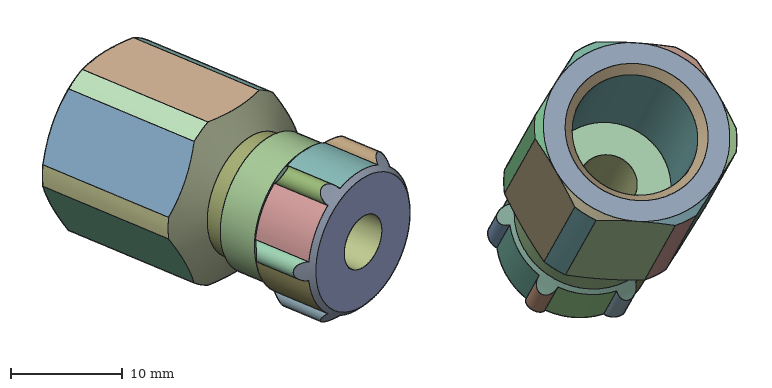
import cadquery as cq
import math

length = 30.0

hex_across_flats = 17.0
hex_corner_diameter = 18.48
corner_end_x = 15.0
crown_angle = 30.0

neck_diameter = 12.0
collar_diameter = 13.5
collar_start_x = 19.0

nut_start_x = 22.95
nut_diameter = 14.28
nut_end_diameter = 13.32
rib_tip_diameter = 16.2
rib_radius = 1.0
rib_count = 6

bore_diameter = 11.45
bore_depth = 13.5
bore_mouth_diameter = 13.05
through_diameter = 5.3


def revolve_about_x(points):
    """Turn a closed (x, radius) outline about the X axis."""
    return cq.Workplane("XY").polyline(points).close().revolve(360, (0, 0, 0), (1, 0, 0))


def cylinder_along_x(diameter, start_x, end_x):
    return cq.Workplane("YZ", origin=(start_x, 0, 0)).circle(diameter / 2).extrude(end_x - start_x)


def make_hex_body():
    """Hexagon trimmed by its corner cylinder and a cone at each end."""
    flat_radius = hex_across_flats / 2
    corner_radius = hex_corner_diameter / 2
    neck_radius = neck_diameter / 2
    crown_slope = math.tan(math.radians(crown_angle))
    front_crown = (corner_radius - flat_radius) * crown_slope
    cone_end_x = corner_end_x + (corner_radius - neck_radius) * crown_slope
    hexagon_diameter = hex_across_flats / math.cos(math.pi / 6)
    prism = cq.Workplane("YZ").polygon(6, hexagon_diameter).extrude(cone_end_x)
    envelope = revolve_about_x([
        (0, 0),
        (0, flat_radius),
        (front_crown, corner_radius),
        (corner_end_x, corner_radius),
        (cone_end_x, neck_radius),
        (cone_end_x, 0),
    ])
    return prism.intersect(envelope)


def make_nut():
    """Round nut with rounded grip ribs, all bevelled at 45 degrees on both ends."""
    nut = cylinder_along_x(nut_diameter, nut_start_x, length)
    rib_center_radius = rib_tip_diameter / 2 - rib_radius
    ribs = (
        cq.Workplane("YZ", origin=(nut_start_x, 0, 0))
        .polarArray(rib_center_radius, 0, 360, rib_count)
        .circle(rib_radius)
        .extrude(length - nut_start_x)
    )
    tip_radius = rib_tip_diameter / 2
    start_radius = collar_diameter / 2
    end_radius = nut_end_diameter / 2
    envelope = revolve_about_x([
        (nut_start_x, 0),
        (nut_start_x, start_radius),
        (nut_start_x + tip_radius - start_radius, tip_radius),
        (length - (tip_radius - end_radius), tip_radius),
        (length, end_radius),
        (length, 0),
    ])
    return nut.union(ribs).intersect(envelope)


def make_bore():
    """Wide bore with a 45 degree mouth, and a narrow hole right through."""
    bore_radius = bore_diameter / 2
    mouth_radius = bore_mouth_diameter / 2
    through_radius = through_diameter / 2
    return revolve_about_x([
        (0, 0),
        (0, mouth_radius),
        (mouth_radius - bore_radius, bore_radius),
        (bore_depth, bore_radius),
        (bore_depth, through_radius),
        (length, through_radius),
        (length, 0),
    ])


neck = cylinder_along_x(neck_diameter, corner_end_x, collar_start_x)
collar = cylinder_along_x(collar_diameter, collar_start_x, nut_start_x)
result = make_hex_body().union(neck).union(collar).union(make_nut()).cut(make_bore())